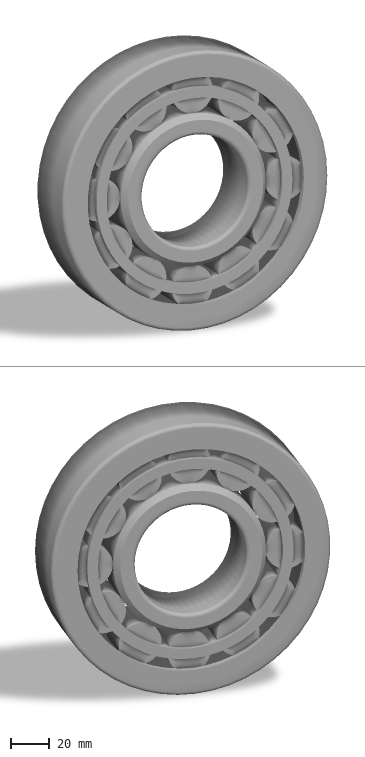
import cadquery as cq

width = 35.0
outer_diameter = 150.0
bore_diameter = 60.0
outer_raceway_diameter = 127.95
inner_raceway_diameter = 82.05
roller_count = 12
edge_fillet = 2.0
roller_length = 26.25
track_length = 28.0
cage_width = 31.5
contact_overlap = 0.02

roller_diameter = (outer_raceway_diameter - inner_raceway_diameter) / 2
pitch_diameter = (outer_raceway_diameter + inner_raceway_diameter) / 2
shoulder_height = roller_diameter / 8
cage_thickness = roller_diameter / 4
taper_length = (width - track_length) / 2


def plane_at(x):
    """Workplane across the bearing axis at the given X."""
    return cq.Workplane("YZ", origin=(x, 0, 0))


def disc(diameter, length):
    """Solid disc about the X axis, centred on X = 0."""
    return plane_at(-length / 2).circle(diameter / 2).extrude(length)


def tube(outer, inner, length):
    """Plain ring about the X axis, centred on X = 0."""
    return plane_at(-length / 2).circle(outer / 2).circle(inner / 2).extrude(length)


def make_outer_ring():
    """Outer ring with rounded rims and a roller track between two shoulders."""
    shoulder_diameter = outer_raceway_diameter - 2 * shoulder_height
    body = disc(outer_diameter, width).edges("%CIRCLE").fillet(edge_fillet)
    bore = disc(shoulder_diameter, width)
    track = disc(outer_raceway_diameter, track_length)
    return body.cut(bore).cut(track)


def make_inner_ring():
    """Inner ring with a tapered lead-in at each end and a rounded bore."""
    half_width = width / 2
    bore_radius = bore_diameter / 2
    raceway_radius = inner_raceway_diameter / 2
    face_radius = raceway_radius - shoulder_height
    taper_start = half_width - taper_length
    profile = (
        cq.Workplane("XY")
        .moveTo(-half_width, bore_radius)
        .lineTo(-half_width, face_radius)
        .lineTo(-taper_start, raceway_radius)
        .lineTo(taper_start, raceway_radius)
        .lineTo(half_width, face_radius)
        .lineTo(half_width, bore_radius)
        .close()
    )
    ring = profile.revolve(360, (0, 0, 0), (1, 0, 0))
    bore_rims = ring.edges("%CIRCLE").edges(cq.selectors.RadiusNthSelector(0))
    return bore_rims.fillet(edge_fillet)


def make_cage():
    """Plain cage ring centred on the roller pitch circle."""
    return tube(pitch_diameter + cage_thickness, pitch_diameter - cage_thickness, cage_width)


def make_rollers():
    """Full circle of cylindrical rollers, the first one on the +Y axis."""
    return (
        plane_at(-roller_length / 2)
        .polarArray(pitch_diameter / 2, 0, 360, roller_count)
        .circle(roller_diameter / 2 + contact_overlap)
        .extrude(roller_length)
    )


result = make_outer_ring().union(make_cage()).union(make_rollers()).union(make_inner_ring())